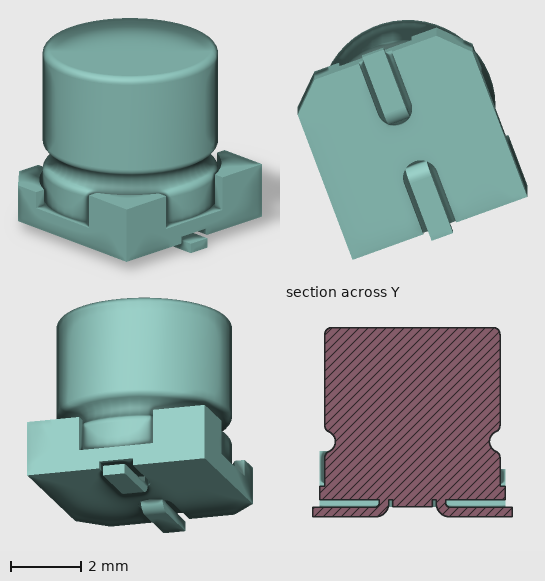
import cadquery as cq
import math


lead_span = 5.7
base_width = 5.3
total_height = 5.4

base_bottom = 0.285
floor_height = 0.89
low_corner_height = 1.375
high_corner_height = 1.88
chamfer_length = 0.8
channel_width = 2.2
bore_radius = 2.595

can_radius = 2.5
rim_fillet = 0.2
groove_height = 2.15
groove_radius = 0.3

lead_width = 0.65
lead_thickness = base_bottom
lead_inner_gap = 1.335
bend_inner_radius = 0.115
bend_outer_radius = bend_inner_radius + lead_thickness
slot_width = 1.005
slot_top = 0.49
slot_inner_end = 0.57


def make_base():
    """Square plate with four corner posts around the can, the -X pair lower and chamfered."""
    base = (
        cq.Workplane("XY", origin=(0, 0, base_bottom))
        .rect(base_width, base_width)
        .extrude(high_corner_height - base_bottom)
        .edges("|Z and <X")
        .chamfer(chamfer_length)
    )
    low_side = (
        cq.Workplane("XY", origin=(-base_width / 2, 0, low_corner_height))
        .rect(base_width, base_width)
        .extrude(high_corner_height - low_corner_height)
    )
    post_gaps = (
        cq.Workplane("XY", origin=(0, 0, floor_height))
        .rect(base_width, channel_width)
        .extrude(high_corner_height - floor_height)
    )
    bore = (
        cq.Workplane("XY", origin=(0, 0, floor_height))
        .circle(bore_radius)
        .extrude(high_corner_height - floor_height)
    )
    crossing_gaps = post_gaps.rotate((0, 0, 0), (0, 0, 1), 90)
    return base.cut(low_side).cut(post_gaps).cut(crossing_gaps).cut(bore)


def make_can():
    """Revolved can with a rounded top edge and a round groove blended into the wall."""
    fillet_center_r = can_radius - rim_fillet
    fillet_center_dz = math.sqrt((groove_radius + rim_fillet) ** 2 - rim_fillet**2)
    tangent_fraction = groove_radius / (groove_radius + rim_fillet)
    tangent_r = can_radius - rim_fillet * tangent_fraction
    tangent_dz = fillet_center_dz * tangent_fraction

    blend_half_angle = math.atan2(fillet_center_dz, rim_fillet) / 2
    blend_mid_r = fillet_center_r + rim_fillet * math.cos(blend_half_angle)
    blend_mid_dz = fillet_center_dz - rim_fillet * math.sin(blend_half_angle)

    def at_groove(radius, dz):
        return (radius, groove_height + dz)

    profile = (
        cq.Workplane("XZ")
        .moveTo(0, floor_height)
        .lineTo(can_radius, floor_height)
        .lineTo(*at_groove(can_radius, -fillet_center_dz))
        .threePointArc(at_groove(blend_mid_r, -blend_mid_dz), at_groove(tangent_r, -tangent_dz))
        .threePointArc(at_groove(can_radius - groove_radius, 0), at_groove(tangent_r, tangent_dz))
        .threePointArc(at_groove(blend_mid_r, blend_mid_dz), at_groove(can_radius, fillet_center_dz))
        .lineTo(can_radius, total_height)
        .lineTo(0, total_height)
        .close()
    )
    can = profile.revolve(360, (0, 0, 0), (0, 1, 0))
    return can.faces(">Z").edges().fillet(rim_fillet)


def make_slot():
    """Round-ended slot in the underside, open at the +X side of the base."""
    slot_radius = slot_width / 2
    round_center = slot_inner_end + slot_radius
    return (
        cq.Workplane("XY", origin=(0, 0, base_bottom))
        .moveTo(base_width / 2, -slot_radius)
        .lineTo(round_center, -slot_radius)
        .threePointArc((slot_inner_end, 0), (round_center, slot_radius))
        .lineTo(base_width / 2, slot_radius)
        .close()
        .extrude(slot_top - base_bottom)
    )


def make_lead():
    """L-shaped lead on the +X side: flat foot, rounded bend and a leg up to the slot ceiling."""
    leg_inner = lead_inner_gap / 2
    leg_outer = leg_inner + lead_thickness
    bend_center = (leg_inner + bend_outer_radius, bend_outer_radius)
    diagonal = math.sqrt(0.5)
    outer_mid = [c - bend_outer_radius * diagonal for c in bend_center]
    inner_mid = [c - bend_inner_radius * diagonal for c in bend_center]
    return (
        cq.Workplane("XZ")
        .moveTo(lead_span / 2, 0)
        .lineTo(bend_center[0], 0)
        .threePointArc(outer_mid, (leg_inner, bend_outer_radius))
        .lineTo(leg_inner, slot_top)
        .lineTo(leg_outer, slot_top)
        .lineTo(leg_outer, bend_outer_radius)
        .threePointArc(inner_mid, (bend_center[0], lead_thickness))
        .lineTo(lead_span / 2, lead_thickness)
        .close()
        .extrude(lead_width / 2, both=True)
    )


result = make_base().union(make_can())
for turn in (0, 180):
    slot = make_slot().rotate((0, 0, 0), (0, 0, 1), turn)
    lead = make_lead().rotate((0, 0, 0), (0, 0, 1), turn)
    result = result.cut(slot).union(lead)